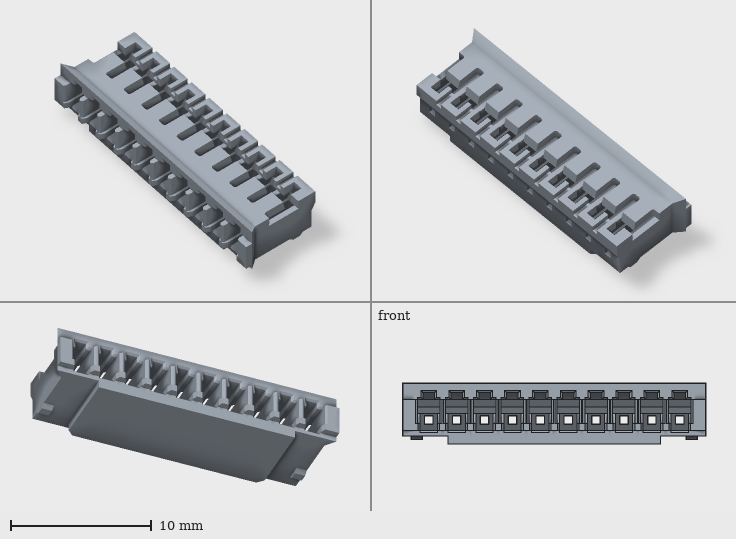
import cadquery as cq


cell_count = 10
pitch = 1.98
cell_centres = [(i - (cell_count - 1) / 2) * pitch for i in range(cell_count)]
wall_centres = [(i - cell_count / 2) * pitch for i in range(1, cell_count)]

overall_width = 21.5
overall_height = 4.35
body_width = 20.3
body_bottom = 0.58
body_top = 3.95
flange_front = 0.54
flange_back = 1.31
rear_lower = 6.5
rear_upper = 6.82
rear_slope_bottom = 2.24
rear_slope_top = 2.82
post_bottom = 0.97

plinth_width = 15.1
plinth_corner = 0.45
foot_width = 0.8
foot_bottom = 0.32
foot_base = (4.47, 5.72)
foot_tip = (4.8, 5.4)

chamber_width = 1.6
chamber_top = 3.18
chamber_back = 6.24
chamber_lead = 0.15
channel_width = 1.23
channel_back = 5.87
channel_flare = 0.161
channel_flare_length = 0.35
floor_bevel = 0.13
front_ledge = 1.48
rear_ledge = 2.2
ledge_ramp = (2.62, 2.77)
rear_wall_slope_top = 2.65
window_size = 0.58
window_centre = 1.72

groove_width = 0.82
groove_top = 3.65
groove_ramp = (3.7, 4.1)

slot_front = 2.6
slot_width = 0.7
slot_corner = 0.1
tongue_tip_top = 4.36
tongue_tip_bottom = 4.54
block_front = 5.27
block_gap = 0.45
block_gap_floor = 3.5


def bar_along_x(points, width, x=0.0):
    """A (Y, Z) outline extruded along X and centred on x."""
    return cq.Workplane("YZ").polyline(points).close().extrude(width / 2, both=True).translate((x, 0, 0))


def block(x_range, y_range, z_range):
    (x0, x1), (y0, y1), (z0, z1) = x_range, y_range, z_range
    return cq.Workplane("XY").box(x1 - x0, y1 - y0, z1 - z0, centered=False).translate((x0, y0, z0))


def flared_pocket(x, side_outline, width, front, back, flare, flare_length):
    """A (Y, Z) outline made to one width as far as back, widening only next to front."""
    half = width / 2
    right_edge = [(half + flare, front), (half, front + flare_length), (half, back)]
    left_edge = [(-px, py) for px, py in reversed(right_edge)]
    plan = cq.Workplane("XY").polyline(right_edge + left_edge).close().extrude(overall_height)
    return bar_along_x(side_outline, 2 * (half + flare)).intersect(plan).translate((x, 0, 0))


def make_body():
    outline = [
        (flange_front, body_bottom),
        (rear_lower, body_bottom),
        (rear_lower, rear_slope_bottom),
        (rear_upper, rear_slope_top),
        (rear_upper, body_top),
        (flange_front, body_top),
    ]
    return bar_along_x(outline, body_width)


def make_flange():
    """Rim that widens to both sides and upwards towards the front."""
    side = [
        (flange_front, body_bottom),
        (flange_back, body_bottom),
        (flange_back, body_top),
        (flange_front, overall_height),
    ]
    half_front, half_back = overall_width / 2, body_width / 2
    plan_points = [
        (-half_front, flange_front),
        (half_front, flange_front),
        (half_back, flange_back),
        (-half_back, flange_back),
    ]
    plan = cq.Workplane("XY").polyline(plan_points).close().extrude(overall_height)
    return bar_along_x(side, overall_width).intersect(plan)


def make_post_bar():
    """Front bar that the cells divide into separate posts."""
    half = overall_width / 2
    return block((-half, half), (0, flange_front), (post_bottom, chamber_top))


def make_plinth():
    half = plinth_width / 2
    plinth = block((-half, half), (flange_front, rear_lower), (0, body_bottom))
    return plinth.edges("|Z and >Y").chamfer(plinth_corner)


def make_foot(side):
    outline = [
        (foot_base[0], body_bottom),
        (foot_tip[0], foot_bottom),
        (foot_tip[1], foot_bottom),
        (foot_base[1], body_bottom),
    ]
    return bar_along_x(outline, foot_width, side * (body_width - foot_width) / 2)


def make_cell(x):
    channel_side = [
        (0, post_bottom - floor_bevel),
        (flange_front, post_bottom - floor_bevel),
        (flange_front + floor_bevel, post_bottom),
        (channel_back, post_bottom),
        (channel_back, rear_ledge),
        (0, rear_ledge),
    ]
    chamber_side = [
        (0, front_ledge),
        (ledge_ramp[0], front_ledge),
        (ledge_ramp[1], rear_ledge),
        (channel_back, rear_ledge),
        (chamber_back, rear_wall_slope_top),
        (chamber_back, chamber_top),
        (flange_front + chamber_lead, chamber_top),
        (flange_front, chamber_top + chamber_lead),
        (0, chamber_top + chamber_lead),
    ]
    groove_side = [
        (flange_front, front_ledge),
        (groove_ramp[1], front_ledge),
        (groove_ramp[1], chamber_top),
        (groove_ramp[0], groove_top),
        (flange_front + chamber_lead, groove_top),
        (flange_front, groove_top + chamber_lead),
    ]
    half_window = window_size / 2
    window = block(
        (x - half_window, x + half_window),
        (channel_back, rear_lower),
        (window_centre - half_window, window_centre + half_window),
    )
    channel = flared_pocket(
        x, channel_side, channel_width, 0, channel_back, channel_flare, channel_flare_length
    )
    chamber = flared_pocket(x, chamber_side, chamber_width, 0, chamber_back, chamber_lead, chamber_lead)
    groove = flared_pocket(
        x, groove_side, groove_width, flange_front, groove_ramp[1], chamber_lead, chamber_lead
    )
    return channel.union(chamber).union(groove).union(window)


def make_tongue_gap():
    """Opening across the body between the tongue tips and the rear blocks."""
    outline = [
        (tongue_tip_bottom, chamber_top),
        (block_front, chamber_top),
        (block_front, body_top),
        (tongue_tip_top, body_top),
    ]
    return bar_along_x(outline, body_width)


def make_block_slot(x):
    """Slot in the front of a rear block, open down to the cell."""
    half = groove_width / 2
    return block((x - half, x + half), (block_front, chamber_back), (chamber_top, body_top))


def make_side_slot(x0, x1, corners):
    slot = block((x0, x1), (slot_front, block_front), (chamber_top, body_top))
    return slot.edges(corners).chamfer(slot_corner)


def make_wall_slot(x):
    """Slot between two tongues, carried on as a gap between the rear blocks."""
    half_slot, half_gap = slot_width / 2, block_gap / 2
    slot = make_side_slot(x - half_slot, x + half_slot, "|Z and <Y")
    gap = block((x - half_gap, x + half_gap), (block_front, rear_upper), (block_gap_floor, body_top))
    return slot.union(gap)


def make_end_slots():
    """Slots beside the outer tongues, open to the ends of the body."""
    outer = body_width / 2
    inner = cell_centres[-1] + (pitch - slot_width) / 2
    left = make_side_slot(-outer, -inner, "|Z and <Y and >X")
    right = make_side_slot(inner, outer, "|Z and <Y and <X")
    return left.union(right)


result = make_body().union(make_flange()).union(make_post_bar()).union(make_plinth())
for side in (-1, 1):
    result = result.union(make_foot(side))
result = result.cut(make_tongue_gap()).cut(make_end_slots())
for x in wall_centres:
    result = result.cut(make_wall_slot(x))
for x in cell_centres:
    result = result.cut(make_cell(x)).cut(make_block_slot(x))